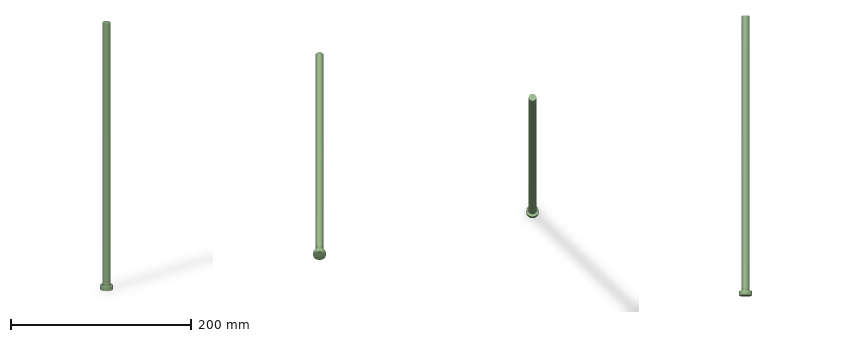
import cadquery as cq

total_length = 315.0
head_diameter = 14.0
head_thickness = 5.0
shaft_diameter = 8.5
shaft_length = total_length - head_thickness


def make_head():
    """Disc head resting on the base plane."""
    return cq.Workplane("XY").circle(head_diameter / 2).extrude(head_thickness)


def add_shaft(body):
    """Round shaft rising from the centre of the head's upper face."""
    return body.faces(">Z").workplane().circle(shaft_diameter / 2).extrude(shaft_length)


result = add_shaft(make_head())